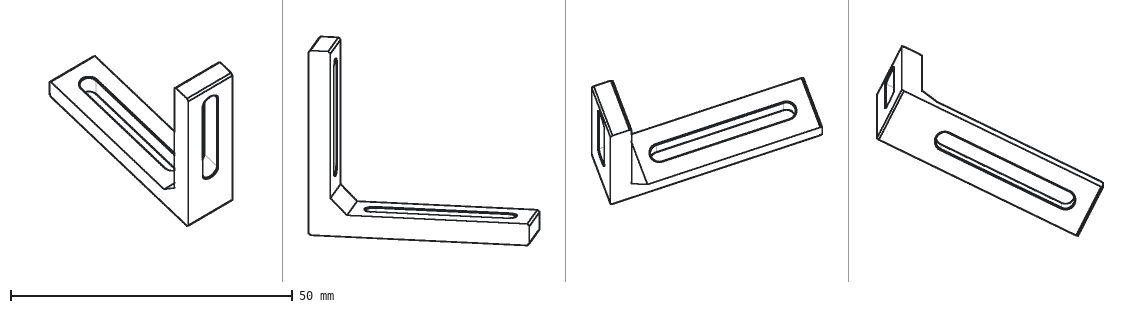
import cadquery as cq

length = 40.0
width = 10.0
height = 34.0
thickness = 4.0
gusset = 3.0
edge_chamfer = 0.4

slot_width = 3.2
slot_chamfer = 0.2
base_slot_length = 27.2
base_slot_center = 17.0
upright_slot_length = 21.2
upright_slot_center = 20.6

upright_face = length - thickness
bracket = (
    cq.Workplane("XZ")
    .polyline([
        (0, 0),
        (length, 0),
        (length, height),
        (upright_face, height),
        (upright_face, thickness + gusset),
        (upright_face - gusset, thickness),
        (0, thickness),
    ])
    .close()
    .extrude(width / 2, both=True)
)

for end_face in ("<X", ">X"):
    bracket = bracket.faces(end_face).edges("|Y").chamfer(edge_chamfer)
top_inner_edge = cq.selectors.NearestToPointSelector((upright_face, 0, height))
bracket = bracket.edges(top_inner_edge).chamfer(edge_chamfer)


def cut_slot(body, plane, slot_length):
    """Cut a slot inward from the plane through one leg and chamfer both rims."""
    bore = cq.Workplane(plane).slot2D(slot_length, slot_width).extrude(-thickness)
    body = body.cut(bore)
    rim_length = slot_length + 2 * slot_chamfer
    rim_width = slot_width + 2 * slot_chamfer
    inner_plane = cq.Plane(
        origin=plane.toWorldCoords((0, 0, -thickness)),
        xDir=plane.xDir,
        normal=-plane.zDir,
    )
    for face_plane in (plane, inner_plane):
        rim = (
            cq.Workplane(face_plane)
            .slot2D(rim_length, rim_width)
            .workplane(offset=-slot_chamfer)
            .slot2D(slot_length, slot_width)
            .loft(ruled=True)
        )
        body = body.cut(rim)
    return body


base_plane = cq.Plane(origin=(base_slot_center, 0, thickness), xDir=(1, 0, 0), normal=(0, 0, 1))
upright_plane = cq.Plane(origin=(upright_face, 0, upright_slot_center), xDir=(0, 0, 1), normal=(-1, 0, 0))

bracket = cut_slot(bracket, base_plane, base_slot_length)
result = cut_slot(bracket, upright_plane, upright_slot_length)